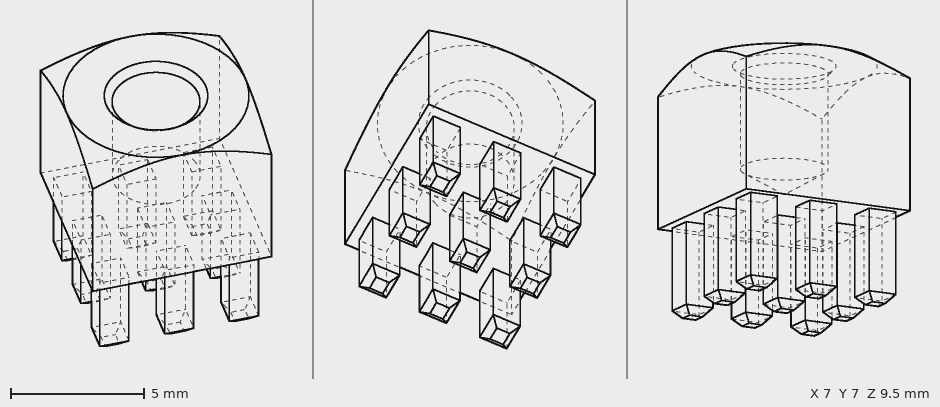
import cadquery as cq
import math

total_height = 9.5
body_width = 7.0
pin_length = 3.52
body_height = total_height - pin_length

top_circle_diameter = 6.99
bevel_angle = 30.0

hole_diameter = 3.31
countersink_diameter = 3.895
countersink_angle = 90.0
hole_depth = 3.99
drill_point_angle = 118.0

pins_per_side = 3
pin_pitch = 2.54
pin_width = 1.14
tip_width = 0.55
tip_height = 0.32


def make_body():
    """Square block trimmed at the top by a cone about the vertical axis."""
    block = (
        cq.Workplane("XY")
        .workplane(offset=pin_length)
        .rect(body_width, body_width)
        .extrude(body_height)
    )
    top_radius = top_circle_diameter / 2
    outer_radius = body_width
    bevel_drop = (outer_radius - top_radius) * math.tan(math.radians(bevel_angle))
    envelope = (
        cq.Workplane("XZ")
        .moveTo(0, 0)
        .lineTo(outer_radius, 0)
        .lineTo(outer_radius, total_height - bevel_drop)
        .lineTo(top_radius, total_height)
        .lineTo(0, total_height)
        .close()
        .revolve(360, (0, 0, 0), (0, 1, 0))
    )
    return block.intersect(envelope)


def make_hole():
    """Solid of revolution to be removed for the hole."""
    radius = hole_diameter / 2
    rim_radius = countersink_diameter / 2
    countersink_depth = (rim_radius - radius) / math.tan(math.radians(countersink_angle / 2))
    point_depth = radius / math.tan(math.radians(drill_point_angle / 2))
    shoulder_z = total_height - hole_depth
    return (
        cq.Workplane("XZ")
        .moveTo(0, total_height)
        .lineTo(rim_radius, total_height)
        .lineTo(radius, total_height - countersink_depth)
        .lineTo(radius, shoulder_z)
        .lineTo(0, shoulder_z - point_depth)
        .close()
        .revolve(360, (0, 0, 0), (0, 1, 0))
    )


def make_pin():
    """Square pin on the vertical axis with a pyramidal tip at Z = 0."""
    shank = (
        cq.Workplane("XY")
        .workplane(offset=tip_height)
        .rect(pin_width, pin_width)
        .extrude(pin_length - tip_height)
    )
    tip = (
        cq.Workplane("XY")
        .rect(tip_width, tip_width)
        .workplane(offset=tip_height)
        .rect(pin_width, pin_width)
        .loft(ruled=True)
    )
    return shank.union(tip)


result = make_body().cut(make_hole())
pin = make_pin()
grid_middle = (pins_per_side - 1) / 2
for column in range(pins_per_side):
    for row in range(pins_per_side):
        x = (column - grid_middle) * pin_pitch
        y = (row - grid_middle) * pin_pitch
        result = result.union(pin.translate((x, y, 0)))